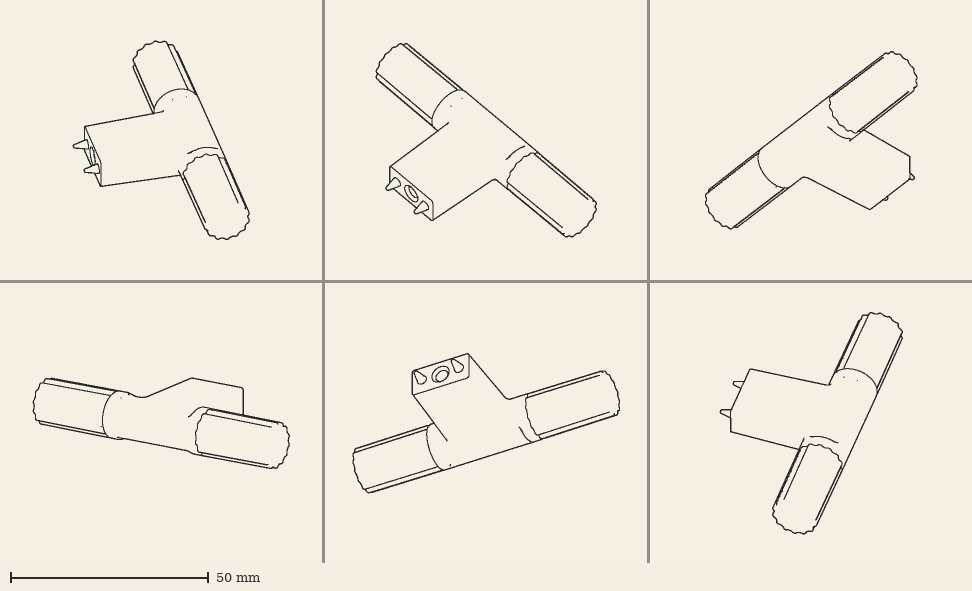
import cadquery as cq
import math

TOTAL_LENGTH = 70.0
BARREL_RADIUS = 6.1
BARREL_HALF_LENGTH = 13.9
BARREL_END_ROUND = 0.35
DRAFT_ANGLE = 0.9

STEM_END_Y = -25.8
STEM_END_HALF_WIDTH = 8.05
STEM_END_HALF_HEIGHT = 4.0
STEM_BLANK_HALF_HEIGHT = 5.9
FLAT_HALF_LENGTH = 11.0
STEM_ROOT_ROUND = 0.85
FLAT_EDGE_ROUND = 0.7

HOLE_RADIUS = 1.7
HOLE_MOUTH_RADIUS = 2.45
HOLE_COUNTERSINK_DEPTH = 0.8
HOLE_DEPTH = 8.4
DRILL_POINT_ANGLE = 118.0

PRONG_OFFSET = 5.25
PRONG_LENGTH = 3.6
PRONG_BASE_RADIUS = 1.25
PRONG_TIP_HALF_WIDTH = 0.5
PRONG_TIP_HALF_HEIGHT = 0.35
PRONG_TIP_ROUND = 0.2

FLUTE_COUNT = 14
FLUTE_DEPTH = 0.5
FLUTE_WIDTH_SHARE = 0.7
GRIP_DRAFT = 0.3
GRIP_END_ROUND = 0.5
RIDGE_ROUND = 0.4

CLEARANCE = 0.7
SELECTION_MARGIN = 0.1

DRAFT_SLOPE = math.tan(math.radians(DRAFT_ANGLE))
GRIP_LENGTH = TOTAL_LENGTH / 2 - BARREL_HALF_LENGTH
STEM_ROOT_HALF_WIDTH = STEM_END_HALF_WIDTH - STEM_END_Y * DRAFT_SLOPE


def flat_height(y):
    """Height of the upper flat above the mid-plane."""
    return STEM_END_HALF_HEIGHT + (y - STEM_END_Y) * DRAFT_SLOPE


def barrel_and_stem():
    """Round crossbar with a stem blank that narrows toward its end."""
    barrel = (
        cq.Workplane("YZ", origin=(-BARREL_HALF_LENGTH, 0, 0))
        .circle(BARREL_RADIUS)
        .extrude(2 * BARREL_HALF_LENGTH)
        .faces("<X or >X")
        .edges()
        .fillet(BARREL_END_ROUND)
    )
    stem = (
        cq.Workplane("XY")
        .polyline([
            (-STEM_ROOT_HALF_WIDTH, 0),
            (STEM_ROOT_HALF_WIDTH, 0),
            (STEM_END_HALF_WIDTH, STEM_END_Y),
            (-STEM_END_HALF_WIDTH, STEM_END_Y),
        ])
        .close()
        .extrude(STEM_BLANK_HALF_HEIGHT, both=True)
    )
    return barrel.union(stem).edges("%ELLIPSE").fillet(STEM_ROOT_ROUND)


def flat_cutter():
    """Wedge above the upper flat, between the two collars."""
    back_y = BARREL_RADIUS + CLEARANCE
    front_y = STEM_END_Y - CLEARANCE
    top_z = BARREL_RADIUS + CLEARANCE
    return (
        cq.Workplane("YZ", origin=(-FLAT_HALF_LENGTH, 0, 0))
        .polyline([
            (back_y, flat_height(back_y)),
            (back_y, top_z),
            (front_y, top_z),
            (front_y, flat_height(front_y)),
        ])
        .close()
        .extrude(2 * FLAT_HALF_LENGTH)
    )


def flat_edges(body):
    """Edges around both flats: their outline and the collar walls standing on them.

    The edges across the stem end stay sharp and are left out.
    """
    half_x = FLAT_HALF_LENGTH + SELECTION_MARGIN
    front_y = STEM_END_Y + SELECTION_MARGIN
    back_y = BARREL_RADIUS - SELECTION_MARGIN
    low_z = STEM_END_HALF_HEIGHT + SELECTION_MARGIN
    upper = cq.selectors.BoxSelector((-half_x, front_y, low_z), (half_x, back_y, BARREL_RADIUS))
    lower = cq.selectors.BoxSelector((-half_x, front_y, -BARREL_RADIUS), (half_x, back_y, -low_z))
    return body.edges(upper + lower)


def mounting_hole():
    """Drilled hole with a countersunk mouth, entering the stem end along +Y."""
    point_length = HOLE_RADIUS / math.tan(math.radians(DRILL_POINT_ANGLE / 2))
    bottom_y = STEM_END_Y + HOLE_DEPTH
    return (
        cq.Workplane("XY")
        .polyline([
            (0, STEM_END_Y),
            (HOLE_MOUTH_RADIUS, STEM_END_Y),
            (HOLE_RADIUS, STEM_END_Y + HOLE_COUNTERSINK_DEPTH),
            (HOLE_RADIUS, bottom_y),
            (0, bottom_y + point_length),
        ])
        .close()
        .revolve(360, (0, 0), (0, 1))
    )


def prong(x):
    """Prong on the stem end, tapering from a round base to an oval tip."""
    return (
        cq.Workplane("XZ", origin=(x, STEM_END_Y, 0))
        .circle(PRONG_BASE_RADIUS)
        .workplane(offset=PRONG_LENGTH)
        .ellipse(PRONG_TIP_HALF_WIDTH, PRONG_TIP_HALF_HEIGHT)
        .loft()
        .faces("<Y")
        .edges()
        .fillet(PRONG_TIP_ROUND)
    )


def make_tee_body():
    upper_cutter = flat_cutter()
    lower_cutter = upper_cutter.mirror("XY")
    body = barrel_and_stem().cut(upper_cutter).cut(lower_cutter)
    body = flat_edges(body).fillet(FLAT_EDGE_ROUND)
    body = body.cut(mounting_hole())
    for x in (-PRONG_OFFSET, PRONG_OFFSET):
        body = body.union(prong(x))
    return body


def at_angle(radius, angle):
    """Point of the grip profile at a polar position."""
    return (radius * math.cos(angle), radius * math.sin(angle))


def make_grip(side):
    """Fluted grip on the barrel end: side is -1 or +1 along X."""
    pitch = 2 * math.pi / FLUTE_COUNT
    half_flute = pitch * FLUTE_WIDTH_SHARE / 2
    profile = cq.Workplane("YZ").moveTo(*at_angle(BARREL_RADIUS, -half_flute))
    for index in range(FLUTE_COUNT):
        flute = index * pitch
        profile = profile.threePointArc(
            at_angle(BARREL_RADIUS - FLUTE_DEPTH, flute),
            at_angle(BARREL_RADIUS, flute + half_flute),
        ).threePointArc(
            at_angle(BARREL_RADIUS, flute + pitch / 2),
            at_angle(BARREL_RADIUS, flute + pitch - half_flute),
        )
    grip = profile.close().extrude(GRIP_LENGTH, taper=GRIP_DRAFT)
    grip = grip.edges("not(<X or >X)").fillet(RIDGE_ROUND)
    grip = grip.faces("<X or >X").edges().fillet(GRIP_END_ROUND)
    grip = grip.translate((BARREL_HALF_LENGTH, 0, 0))
    return grip if side > 0 else grip.mirror("YZ")


tee_body = make_tee_body()
grips = [make_grip(side) for side in (-1, 1)]

result = cq.Compound.makeCompound([tee_body.val(), *[grip.val() for grip in grips]])